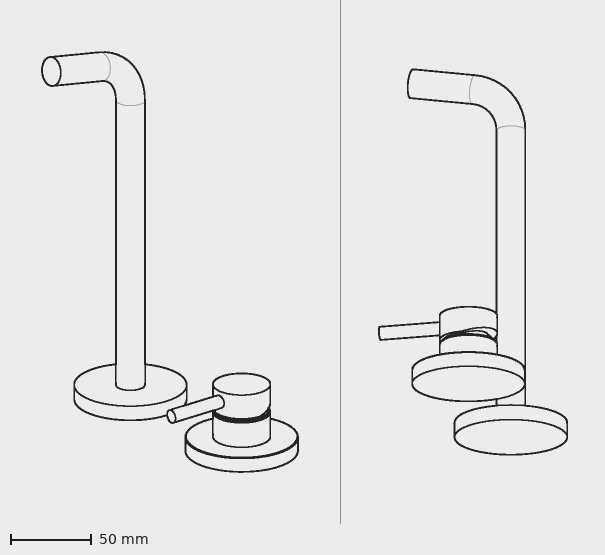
import cadquery as cq
import math

total_height = 244.5
total_width = 179.0
total_depth = 99.7

plate_radius = 35.0
plate_height = 9.5
plate_chamfer = 0.5
spout_x = 0.0
mixer_x = total_width - 2 * plate_radius

pipe_radius = 9.0
bend_radius = 28.8
outlet_rise = 10.0

body_radius = 17.8
body_top = 26.5
body_chamfer = 0.5

neck_radius = 16.5
neck_collar_height = 0.7
cap_bottom = 28.5
cap_rim = 44.5
cap_dome = 0.2
relief_angle = 14.0
lever_radius = 4.2
lever_z = 37.5
lever_length = 56.7
lever_dome = 0.5


def make_spout():
    """Plate and bent pipe, one solid."""
    rise = math.radians(outlet_rise)
    sin_rise = math.sin(rise)
    cos_rise = math.cos(rise)

    reach = total_depth - plate_radius - pipe_radius * sin_rise
    bend_reach = bend_radius * (1 - sin_rise)
    outlet_length = (reach - bend_reach) / cos_rise
    tip_z = total_height - pipe_radius * cos_rise
    bend_end_z = tip_z - outlet_length * sin_rise
    leg_top = bend_end_z - bend_radius * cos_rise

    bend_half_angle = (math.pi / 2 - rise) / 2
    bend_middle = (
        -bend_radius * (1 - math.cos(bend_half_angle)),
        leg_top + bend_radius * math.sin(bend_half_angle),
    )
    path = (
        cq.Workplane("YZ", origin=(spout_x, 0, 0))
        .moveTo(0, plate_height)
        .lineTo(0, leg_top)
        .threePointArc(bend_middle, (-bend_reach, bend_end_z))
        .lineTo(-reach, tip_z)
    )
    pipe = (
        cq.Workplane("XY", origin=(spout_x, 0, plate_height))
        .circle(pipe_radius)
        .sweep(path)
    )
    plate = cq.Workplane("XY", origin=(spout_x, 0, 0)).circle(plate_radius).extrude(plate_height)
    return plate.union(pipe)


def make_mixer_base():
    """Chamfered plate carrying the round mixer body, one solid."""
    plate = (
        cq.Workplane("XY", origin=(mixer_x, 0, 0))
        .circle(plate_radius)
        .extrude(plate_height)
        .faces(">Z").chamfer(plate_chamfer)
    )
    body = (
        cq.Workplane("XY", origin=(mixer_x, 0, plate_height))
        .circle(body_radius)
        .extrude(body_top - plate_height)
        .faces(">Z").chamfer(body_chamfer)
    )
    return plate.union(body)


def make_domed_rod(radius, rim_height, dome):
    """Round rod along +Z from the origin, with a shallow spherical end."""
    sphere_radius = (radius**2 + dome**2) / (2 * dome)
    tip = rim_height + dome
    arc_middle_r = radius / 2
    arc_middle_z = tip - sphere_radius + math.sqrt(sphere_radius**2 - arc_middle_r**2)
    return (
        cq.Workplane("XZ")
        .lineTo(radius, 0)
        .lineTo(radius, rim_height)
        .threePointArc((arc_middle_r, arc_middle_z), (0, tip))
        .close()
        .revolve(360, (0, 0), (0, 1))
    )


def make_cap():
    """Domed cap whose underside slopes up towards the back."""
    cap = make_domed_rod(body_radius, cap_rim - cap_bottom, cap_dome)
    relief_rise = body_radius * math.tan(math.radians(relief_angle))
    relief = (
        cq.Workplane("YZ")
        .lineTo(body_radius, 0)
        .lineTo(body_radius, relief_rise)
        .close()
        .extrude(body_radius, both=True)
    )
    return cap.cut(relief).translate((mixer_x, 0, cap_bottom))


def make_neck():
    """Short collar with a 45 degree cone above it, ending inside the cap."""
    collar_top = body_top + neck_collar_height
    cone_top = (cap_bottom + cap_rim) / 2
    cone_top_radius = neck_radius - (cone_top - collar_top)
    return (
        cq.Workplane("XZ", origin=(mixer_x, 0, 0))
        .moveTo(0, body_top)
        .lineTo(neck_radius, body_top)
        .lineTo(neck_radius, collar_top)
        .lineTo(cone_top_radius, cone_top)
        .lineTo(0, cone_top)
        .close()
        .revolve(360, (0, 0), (0, 1))
    )


def make_lever():
    """Straight rod from the cap axis towards the front, with a domed end."""
    return (
        make_domed_rod(lever_radius, lever_length - lever_dome, lever_dome)
        .rotate((0, 0, 0), (1, 0, 0), 90)
        .translate((mixer_x, 0, lever_z))
    )


def make_handle():
    """Cap, neck and lever, one solid standing on the mixer body."""
    return make_cap().union(make_neck()).union(make_lever())


spout = make_spout()
mixer_base = make_mixer_base()
handle = make_handle()

result = cq.Compound.makeCompound([spout.val(), mixer_base.val(), handle.val()])